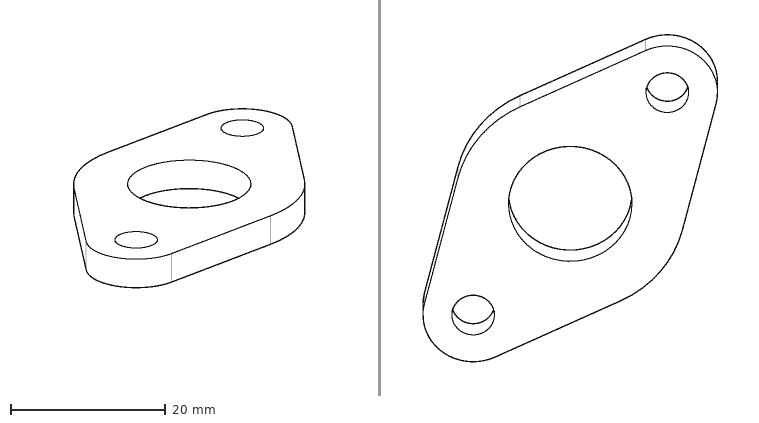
import cadquery as cq
import math

length = 52.95
width = 30.0
thickness = 4.0
end_radius = 6.5
bore_diameter = 16.0
bolt_hole_diameter = 5.5

middle_radius = width / 2
bolt_offset = length / 2 - end_radius

tangent_sin = (middle_radius - end_radius) / bolt_offset
tangent_cos = math.sqrt(1 - tangent_sin**2)
middle_x = middle_radius * tangent_cos
middle_y = middle_radius * tangent_sin
end_x = end_radius * tangent_cos
end_y = bolt_offset + end_radius * tangent_sin


def flange_plate():
    """Diamond plate: a round middle joined to two round ends by tangent sides."""
    return (
        cq.Workplane("XY")
        .moveTo(middle_x, -middle_y)
        .threePointArc((middle_radius, 0), (middle_x, middle_y))
        .lineTo(end_x, end_y)
        .threePointArc((0, length / 2), (-end_x, end_y))
        .lineTo(-middle_x, middle_y)
        .threePointArc((-middle_radius, 0), (-middle_x, -middle_y))
        .lineTo(-end_x, -end_y)
        .threePointArc((0, -length / 2), (end_x, -end_y))
        .close()
        .extrude(thickness)
    )


def through_holes(diameter, centres):
    """Cylinders that cut holes through the full thickness."""
    return cq.Workplane("XY").pushPoints(centres).circle(diameter / 2).extrude(thickness)


bore = through_holes(bore_diameter, [(0, 0)])
bolt_holes = through_holes(bolt_hole_diameter, [(0, -bolt_offset), (0, bolt_offset)])

result = flange_plate().cut(bore).cut(bolt_holes)